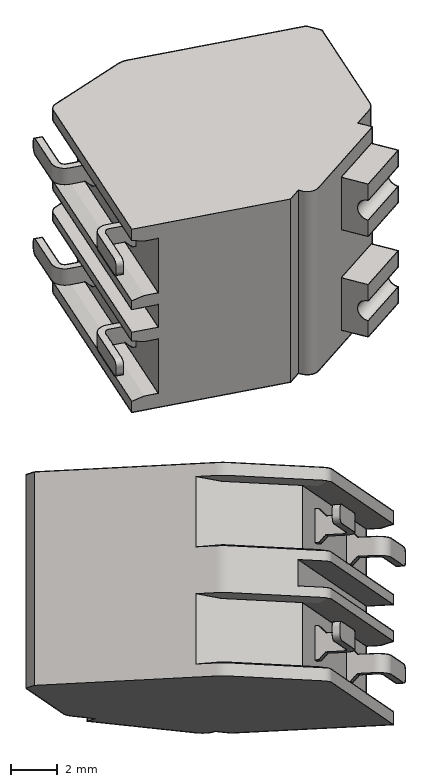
import cadquery as cq
import math


width = 12.7
housing_depth = 12.92
height = 9.27
total_depth = 13.82

pole_pitch = 5.09
pole_centres = [height / 2 - pole_pitch / 2, height / 2 + pole_pitch / 2]

back_left_chamfer = 0.53
front_left_cut = 2.4
front_left_rise = 4.06
front_left_slope = front_left_rise / front_left_cut
front_fillet = 0.53
left_fillet = 1.0
back_fillet = 0.83

diagonal_sum = 19.89
rail_centre_difference = 0.25
rail_centre_x = (diagonal_sum + rail_centre_difference) / 2
rail_centre_y = (diagonal_sum - rail_centre_difference) / 2
rail_length = 5.89
rail_height = 0.69
rail_fillet = 0.54

button_length = 2.99
button_rise = 1.27
button_width = 2.65
groove_radius = 0.5

recess_depth = 1.2
recess_rise = 5.25
recess_width = 2.75
flare_step = 0.15
flare_reach = 0.58
slot_width = 1.15

lead_thickness = 0.35
lead_width = 0.83
lead_drop = 0.61
lead_length = 2.92
lead_tip_fillet = 0.28
lead_middle_x = 7.13
lead_leg_gap = 4.75
lead_embed = 0.28
shoulder_width = 1.48
shoulder_straight = 0.17

margin = 2.76


def prism(points, bottom, top):
    """Upright prism on an XY outline."""
    return cq.Workplane("XY").workplane(offset=bottom).polyline(points).close().extrude(top - bottom)


def fillet_edge(solid, point, radius):
    """Round the edge whose middle is nearest to a point."""
    return solid.edges(cq.selectors.NearestToPointSelector(point)).fillet(radius)


def diagonal_point(along, out):
    """XY point along the 45 degree face (towards +X, -Y) from the rail middle, and out of it."""
    unit = math.sqrt(0.5)
    return (rail_centre_x + (along + out) * unit, rail_centre_y + (out - along) * unit)


def diagonal_block(start, end, low, high, bottom, top):
    """Block aligned with the 45 degree face."""
    corners = [(start, low), (end, low), (end, high), (start, high)]
    return prism([diagonal_point(*corner) for corner in corners], bottom, top)


def make_housing():
    middle = height / 2
    back_right_x = diagonal_sum - housing_depth
    outline = [
        (front_left_cut, 0),
        (width, 0),
        (width, diagonal_sum - width),
        (back_right_x, housing_depth),
        (back_left_chamfer, housing_depth),
        (0, housing_depth - back_left_chamfer),
        (0, front_left_rise),
    ]
    body = prism(outline, 0, height)
    body = fillet_edge(body, (front_left_cut, 0, middle), front_fillet)
    body = fillet_edge(body, (0, front_left_rise, middle), left_fillet)
    return fillet_edge(body, (back_right_x, housing_depth, middle), back_fillet)


def make_rail():
    half = rail_length / 2
    rail = diagonal_block(-half, half, -rail_height, rail_height, 0, height)
    front_corner = (*diagonal_point(half, rail_height), height / 2)
    return fillet_edge(rail, front_corner, rail_fillet)


def make_button(centre):
    top = rail_height + button_rise
    back_corner_y = total_depth - lead_drop
    start = top - (back_corner_y - rail_centre_y) * math.sqrt(2)
    half = button_width / 2
    button = diagonal_block(start, start + button_length, 0, top, centre - half, centre + half)
    groove_end = cq.Plane(
        origin=(*diagonal_point(start, top), centre), xDir=(0, 0, 1), normal=(1, -1, 0)
    )
    groove = cq.Workplane(groove_end).circle(groove_radius).extrude(button_length)
    return button.cut(groove)


def make_recess(centre):
    """Cutting body for one pole: a straight pocket plus the sloped flare at its mouth."""
    half = recess_width / 2
    mouth_half = half + flare_step
    far_x = width + margin
    region = [
        (-margin, recess_rise + margin * front_left_slope),
        ((recess_rise - recess_depth) / front_left_slope, recess_depth),
        (far_x, recess_depth),
        (far_x, -margin),
        (-margin, -margin),
    ]
    pocket = prism(region, centre - half, centre + half)
    mouth = prism(region, centre - mouth_half, centre + mouth_half)

    corners = [
        (0, housing_depth),
        (0, front_left_rise),
        (front_left_cut, 0),
        (far_x, 0),
        (far_x, housing_depth),
    ]
    left_corner = cq.selectors.NearestToPointSelector((0, front_left_rise, 0))
    core_outline = cq.Sketch().polygon([*corners, corners[0]]).vertices(left_corner).fillet(left_fillet)
    taper = math.degrees(math.atan(flare_reach / flare_step))
    lower_core = (
        cq.Workplane("XY")
        .workplane(offset=centre - mouth_half)
        .placeSketch(core_outline)
        .extrude(flare_step, taper=taper)
    )
    upper_core = lower_core.mirror("XY", (0, 0, centre))
    return pocket.union(mouth.cut(lower_core).cut(upper_core))


def make_slot():
    """Cutting body for the plain slot between the poles."""
    return (
        cq.Workplane("XY")
        .box(width + margin, recess_depth, slot_width, centered=(False, False, True))
        .translate((0, 0, height / 2))
    )


def make_left_lead(centre):
    """Lead with a leg out of the recess floor, bent into a foot towards -X."""
    leg_right = lead_middle_x - lead_leg_gap / 2
    leg_left = leg_right - lead_thickness
    tip = leg_right - lead_length
    foot_back = lead_thickness - lead_drop
    root = recess_depth + lead_embed
    half = lead_width / 2
    outline = [
        (leg_left, root),
        (leg_right, root),
        (leg_right, -lead_drop),
        (tip, -lead_drop),
        (tip, foot_back),
        (leg_left, foot_back),
    ]
    lead = prism(outline, centre - half, centre + half)
    lead = fillet_edge(lead, (leg_right, -lead_drop, centre), lead_drop)
    lead = fillet_edge(lead, (leg_left, foot_back, centre), lead_drop - lead_thickness)
    lead = lead.faces("<X").edges("|Y").fillet(lead_tip_fillet)

    shoulder_half = shoulder_width / 2
    wide_y = recess_depth - shoulder_straight
    narrow_y = wide_y - (shoulder_half - half)
    shoulder = (
        cq.Workplane("YZ", origin=(leg_left, 0, centre))
        .moveTo(root, -shoulder_half)
        .lineTo(wide_y, -shoulder_half)
        .lineTo(narrow_y, -half)
        .lineTo(narrow_y, half)
        .lineTo(wide_y, shoulder_half)
        .lineTo(root, shoulder_half)
        .close()
        .extrude(lead_thickness)
    )
    return lead.union(shoulder)


result = make_housing().union(make_rail()).cut(make_slot())
for pole_centre in pole_centres:
    left_lead = make_left_lead(pole_centre)
    right_lead = left_lead.mirror("YZ", (lead_middle_x, 0, 0))
    result = result.union(make_button(pole_centre)).cut(make_recess(pole_centre))
    result = result.union(left_lead).union(right_lead)